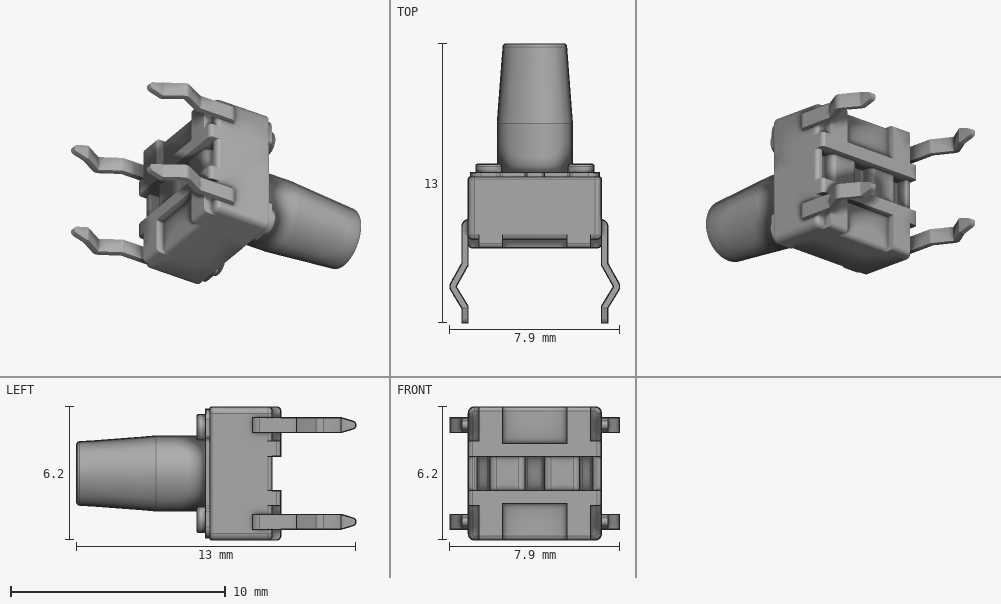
import cadquery as cq
import math


housing_width = 6.2
housing_half = housing_width / 2
housing_top = 3.3
housing_corner_radius = 0.3
housing_top_radius = 0.1
foot_height = 0.4
foot_edge_radius = 0.2
foot_block_top = 1.0

middle_pocket_width = 3.0
middle_pocket_inner_z = 1.4
corner_pocket_inner_x = 2.6
corner_pocket_inner_z = 1.5

channel_half_width = 0.8
channel_floor = 1.0
channel_end_x = 2.7
channel_end_radius = 0.1
island_spacing = 2.54
island_width = 1.64
island_tip_radius = 0.3
island_root_radius = 0.12

plate_width = 6.0
plate_half = plate_width / 2
plate_top = 3.5
plate_corner_radius = 0.5
plate_recess_half_width = 1.63
plate_recess_radius = 0.12
plate_recess_floor = plate_half - 2 * plate_recess_radius
plate_bump_root_width = 0.9
plate_bump_tip_width = 0.74
plate_bump_height = 0.05

stake_offset = 2.15
stake_radius = 0.6
stake_top = 3.9
stake_edge_radius = 0.1

button_radius = 1.75
button_tip_radius = 1.47
button_taper_start = 5.8
button_top = 9.5
button_edge_radius = 0.15

pin_thickness = 0.3
pin_width = 0.7
pin_z = 2.25
pin_shoulder_y = 0.98
pin_shoulder_radius = 0.35
pin_top_y = pin_shoulder_y + pin_shoulder_radius
pin_kink_reach = 0.56
pin_kink_top_y = -0.8
pin_kink_upper_length = 1.0
pin_kink_lower_length = 0.92
pin_kink_radius = 0.35
pin_tip_y = -3.5
pin_taper_angle = math.radians(16.5)
pin_tip_radius = 0.19
pin_root_depth = 0.1


def block(x_min, x_max, y_min, y_max, z_min, z_max):
    size = (x_max - x_min, y_max - y_min, z_max - z_min)
    return cq.Workplane("XY").box(*size, centered=False).translate((x_min, y_min, z_min))


def rounded_square(width, corner_radius, y_min, y_max):
    half = width / 2
    return block(-half, half, y_min, y_max, -half, half).edges("|Y").fillet(corner_radius)


def channel_box(half_length, top):
    return block(-half_length, half_length, 0, top, -channel_half_width, channel_half_width)


def make_pockets():
    """Cutters for one middle and two corner pockets along each Z edge of the feet."""
    middle_half = middle_pocket_width / 2
    pockets = []
    for side in (-1, 1):
        outer_z = side * housing_half
        z_range = sorted((side * middle_pocket_inner_z, outer_z))
        pockets.append(block(-middle_half, middle_half, 0, foot_block_top, *z_range))
        z_range = sorted((side * corner_pocket_inner_z, outer_z))
        for end in (-1, 1):
            x_range = sorted((end * corner_pocket_inner_x, end * housing_half))
            pockets.append(block(*x_range, 0, foot_block_top, *z_range))
    return pockets


def make_housing():
    body = rounded_square(housing_width, housing_corner_radius, foot_height, housing_top)
    body = body.faces("<Y").edges().fillet(foot_edge_radius)
    body = body.faces(">Y").edges().fillet(housing_top_radius)
    feet = block(-housing_half, housing_half, 0, foot_block_top, -housing_half, housing_half)
    feet = feet.faces("<Y").edges().fillet(foot_edge_radius)
    for pocket in make_pockets():
        feet = feet.cut(pocket)
    feet = feet.cut(channel_box(housing_half, foot_block_top))
    return body.union(feet)


def make_island(center_x):
    """Island with rounded shoulders, blending into the channel floor."""
    half = island_width / 2
    root_half = half + island_root_radius
    tip_half = half - island_tip_radius
    tip_bend_y = foot_height + island_tip_radius
    root_bend_y = channel_floor - island_root_radius
    diagonal = math.sqrt(0.5)
    tip_mid = (half - island_tip_radius * (1 - diagonal), tip_bend_y - island_tip_radius * diagonal)
    root_mid = (root_half - island_root_radius * diagonal, root_bend_y + island_root_radius * diagonal)
    return (
        cq.Workplane("XY")
        .moveTo(-root_half, channel_floor)
        .threePointArc((-root_mid[0], root_mid[1]), (-half, root_bend_y))
        .lineTo(-half, tip_bend_y)
        .threePointArc((-tip_mid[0], tip_mid[1]), (-tip_half, foot_height))
        .lineTo(tip_half, foot_height)
        .threePointArc(tip_mid, (half, tip_bend_y))
        .lineTo(half, root_bend_y)
        .threePointArc(root_mid, (root_half, channel_floor))
        .close()
        .extrude(channel_half_width, both=True)
        .translate((center_x, 0, 0))
    )


def make_channel():
    """Cutter for the channel, with the islands left standing."""
    opening = channel_box(housing_half, foot_height)
    trough = channel_box(channel_end_x, channel_floor)
    channel = opening.union(trough)
    for wall_y in (foot_height, channel_floor):
        for end in (-1, 1):
            corner = cq.selectors.NearestToPointSelector((end * channel_end_x, wall_y, 0))
            channel = channel.edges("|Z").edges(corner).fillet(channel_end_radius)
    for side in (-1, 1):
        channel = channel.cut(make_island(side * island_spacing / 2))
    return channel


def make_plate_recess():
    """Cutter for the shallow recess in the +Z edge of the plate, with S-shaped ends."""
    radius = plate_recess_radius
    half = plate_recess_half_width
    diagonal = radius * math.sqrt(0.5)
    bend_z = plate_half - radius
    inner_mid = (half - radius + diagonal, bend_z - diagonal)
    outer_mid = (half + radius - diagonal, bend_z + diagonal)
    return (
        cq.Workplane("XZ", origin=(0, plate_top, 0))
        .moveTo(radius - half, plate_recess_floor)
        .lineTo(half - radius, plate_recess_floor)
        .threePointArc(inner_mid, (half, bend_z))
        .threePointArc(outer_mid, (half + radius, plate_half))
        .lineTo(-half - radius, plate_half)
        .threePointArc((-outer_mid[0], outer_mid[1]), (-half, bend_z))
        .threePointArc((-inner_mid[0], inner_mid[1]), (radius - half, plate_recess_floor))
        .close()
        .extrude(plate_top - housing_top)
    )


def make_plate():
    plate = rounded_square(plate_width, plate_corner_radius, housing_top, plate_top)
    recess = make_plate_recess()
    for angle in (0, 90, 180, 270):
        plate = plate.cut(recess.rotate((0, 0, 0), (0, 1, 0), angle))
    for side in (-1, 1):
        plate = plate.union(make_plate_bump(side * plate_recess_floor, side * plate_bump_height))
    return plate


def make_plate_bump(root_z, height):
    root_half = plate_bump_root_width / 2
    tip_half = plate_bump_tip_width / 2
    tip_z = root_z + height
    sunk_z = root_z - height
    outline = [
        (-root_half, sunk_z),
        (-root_half, root_z),
        (-tip_half, tip_z),
        (tip_half, tip_z),
        (root_half, root_z),
        (root_half, sunk_z),
    ]
    thickness = plate_top - housing_top
    plane = cq.Workplane("XZ", origin=(0, plate_top, 0))
    return plane.polyline(outline).close().extrude(thickness)


def make_stake(x, z):
    plane = cq.Workplane("XZ", origin=(x, stake_top, z))
    stake = plane.circle(stake_radius).extrude(stake_top - housing_top)
    return stake.faces(">Y").edges().fillet(stake_edge_radius)


def make_button():
    button = (
        cq.Workplane("XY")
        .moveTo(0, housing_top)
        .lineTo(button_radius, housing_top)
        .lineTo(button_radius, button_taper_start)
        .lineTo(button_tip_radius, button_top)
        .lineTo(0, button_top)
        .close()
        .revolve(360, (0, 0, 0), (0, 1, 0))
    )
    return button.faces(">Y").edges().fillet(button_edge_radius)


def make_pin_strip():
    """Bent strip of the +X pin at full width, centred on Z = 0."""
    inner_x = housing_half
    outer_x = inner_x + pin_thickness
    root_x = inner_x - pin_root_depth
    root_bottom_y = foot_height + foot_edge_radius

    upper_angle = math.atan2(pin_kink_reach, pin_kink_upper_length)
    lower_angle = math.atan2(pin_kink_reach, pin_kink_lower_length)
    inner_apex_x = inner_x + pin_kink_reach
    inner_apex_y = pin_kink_top_y - pin_kink_upper_length
    miter = pin_thickness / math.cos((upper_angle + lower_angle) / 2)
    miter_angle = (upper_angle - lower_angle) / 2
    outer_apex_x = inner_apex_x + miter * math.cos(miter_angle)
    outer_apex_y = inner_apex_y + miter * math.sin(miter_angle)
    kink_bottom_y = inner_apex_y - pin_kink_lower_length
    outer_top_y = pin_kink_top_y + pin_thickness * math.tan(upper_angle / 2)
    outer_bottom_y = kink_bottom_y - pin_thickness * math.tan(lower_angle / 2)

    shoulder_x = outer_x - pin_shoulder_radius
    shoulder_reach = pin_shoulder_radius * math.sqrt(0.5)
    shoulder_mid = (shoulder_x + shoulder_reach, pin_shoulder_y + shoulder_reach)
    strip = (
        cq.Workplane("XY")
        .moveTo(root_x, pin_top_y)
        .lineTo(shoulder_x, pin_top_y)
        .threePointArc(shoulder_mid, (outer_x, pin_shoulder_y))
        .lineTo(outer_x, outer_top_y)
        .lineTo(outer_apex_x, outer_apex_y)
        .lineTo(outer_x, outer_bottom_y)
        .lineTo(outer_x, pin_tip_y)
        .lineTo(inner_x, pin_tip_y)
        .lineTo(inner_x, kink_bottom_y)
        .lineTo(inner_apex_x, inner_apex_y)
        .lineTo(inner_x, pin_kink_top_y)
        .lineTo(inner_x, root_bottom_y)
        .lineTo(root_x, root_bottom_y)
        .close()
        .extrude(pin_width / 2, both=True)
    )
    return strip.edges("|Z").edges(">X").fillet(pin_kink_radius)


def make_pin_outline():
    """Side outline of a pin, tapering to a round tip, extruded past the strip along X."""
    half = pin_width / 2
    tangent_y = pin_tip_y + pin_tip_radius * (1 - math.sin(pin_taper_angle))
    tangent_z = pin_tip_radius * math.cos(pin_taper_angle)
    taper_start_y = tangent_y + (half - tangent_z) / math.tan(pin_taper_angle)
    return (
        cq.Workplane("YZ")
        .moveTo(pin_top_y, -half)
        .lineTo(taper_start_y, -half)
        .lineTo(tangent_y, -tangent_z)
        .threePointArc((pin_tip_y, 0), (tangent_y, tangent_z))
        .lineTo(taper_start_y, half)
        .lineTo(pin_top_y, half)
        .close()
        .extrude(housing_width)
    )


def make_pin():
    return make_pin_strip().intersect(make_pin_outline())


def build_switch():
    switch = make_housing().cut(make_channel())
    switch = switch.union(make_plate()).union(make_button())
    for side in (-1, 1):
        for end in (-1, 1):
            switch = switch.union(make_stake(side * stake_offset, end * stake_offset))
    right_pin = make_pin()
    left_pin = right_pin.mirror("YZ")
    for end in (-1, 1):
        for pin in (left_pin, right_pin):
            switch = switch.union(pin.translate((0, 0, end * pin_z)))
    return switch


result = build_switch()